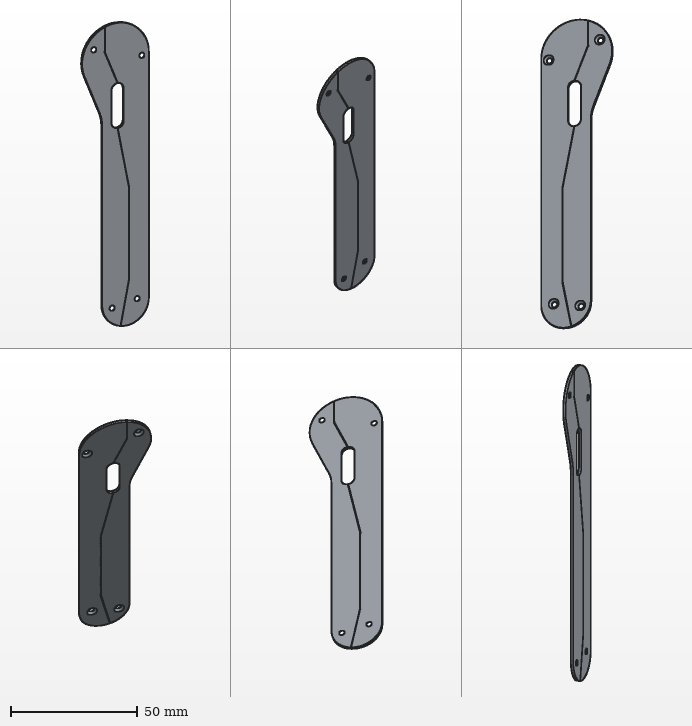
import cadquery as cq
import math

thickness = 1.1
length = 129.6
head_width = 29.7
handle_width = 20.7

head_radius = head_width / 2
head_z = length - head_radius
end_radius = handle_width / 2
back_edge_y = head_radius
front_edge_y = back_edge_y - handle_width
end_y = back_edge_y - end_radius

neck_angle = math.radians(22)
neck_radius = 15.5

slot_width = 5.5
slot_length = 19.2
slot_y = 0.9
slot_z = 94.4

gap = 0.2
upper_split_y = -4.8
lower_split_y = 6.0
lower_split_angle = math.radians(11)
lower_knee_z = 19.6
split_overrun = 1.3

hole_diameter = 2.2
countersink_diameter = 4.1
countersink_angle = 90
hole_centers = [(11.7, 114.0), (-9.7, 120.0), (9.6, 10.6), (-1.5, 8.5)]


def plate_blank():
    """Full outline: round head, sloping neck, straight handle and round end."""
    tangent_y = -head_radius * math.cos(neck_angle)
    tangent_z = head_z - head_radius * math.sin(neck_angle)
    corner_z = tangent_z - (front_edge_y - tangent_y) / math.tan(neck_angle)

    blend_reach = neck_radius * math.tan(neck_angle / 2)
    blend_top_y = front_edge_y - blend_reach * math.sin(neck_angle)
    blend_top_z = corner_z + blend_reach * math.cos(neck_angle)
    blend_bottom_z = corner_z - blend_reach
    blend_middle_y = front_edge_y - neck_radius * (1 - math.cos(neck_angle / 2))
    blend_middle_z = blend_bottom_z + neck_radius * math.sin(neck_angle / 2)

    return (
        cq.Workplane("YZ")
        .moveTo(back_edge_y, end_radius)
        .lineTo(back_edge_y, head_z)
        .threePointArc((0, length), (tangent_y, tangent_z))
        .lineTo(blend_top_y, blend_top_z)
        .threePointArc((blend_middle_y, blend_middle_z), (front_edge_y, blend_bottom_z))
        .lineTo(front_edge_y, end_radius)
        .threePointArc((end_y, 0), (back_edge_y, end_radius))
        .close()
        .extrude(thickness)
    )


def cut_slot(plate):
    slot = (
        cq.Workplane("YZ")
        .center(slot_y, slot_z)
        .slot2D(slot_length, slot_width, 90)
        .extrude(thickness)
    )
    return plate.cut(slot)


def cut_screw_holes(plate):
    """Through holes, countersunk from the outer face at X = 0."""
    return (
        plate.faces("<X")
        .workplane(origin=(0, 0, 0))
        .pushPoints([(-y, z) for y, z in hole_centers])
        .cskHole(hole_diameter, countersink_diameter, countersink_angle)
    )


def split_line():
    """Centre line of the gap, from above the head to below the round end."""
    slot_top = slot_z + slot_length / 2
    slot_bottom = slot_z - slot_length / 2
    top_knee_z = slot_top + (slot_y - upper_split_y) / math.tan(neck_angle)
    middle_knee_z = slot_bottom - (lower_split_y - slot_y) / math.tan(lower_split_angle)
    exit_y = lower_split_y - (lower_knee_z + split_overrun) * math.tan(lower_split_angle)
    return [
        (upper_split_y, length + split_overrun),
        (upper_split_y, top_knee_z),
        (slot_y, slot_top),
        (slot_y, slot_bottom),
        (lower_split_y, middle_knee_z),
        (lower_split_y, lower_knee_z),
        (exit_y, -split_overrun),
    ]


def side_region(side):
    """Everything on one side of the gap: side is +1 toward +Y, -1 toward -Y."""
    border = [(y + side * gap / 2, z) for y, z in split_line()]
    outside_y = side * head_width
    corners = [(outside_y, -split_overrun), (outside_y, length + split_overrun)]
    return cq.Workplane("YZ").polyline(border + corners).close().extrude(thickness)


whole_plate = cut_screw_holes(cut_slot(plate_blank()))

back_plate = whole_plate.intersect(side_region(1))

front_plate = whole_plate.intersect(side_region(-1))

result = cq.Compound.makeCompound([back_plate.val(), front_plate.val()])